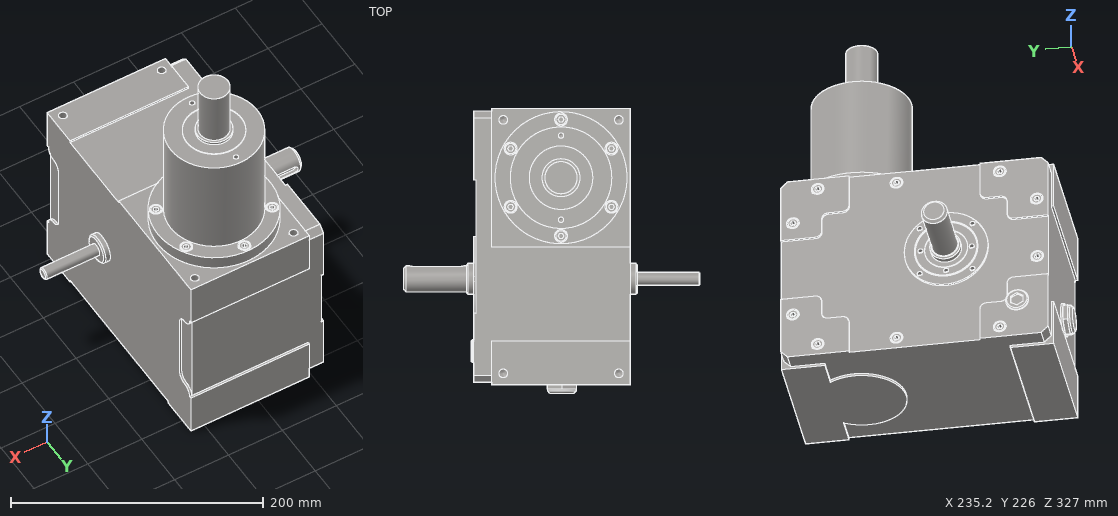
import cadquery as cq
import math

TOTAL_HEIGHT = 327.0
STEP = 2.0

SEAT_SIZE = 110.0
BLOCK_LENGTH = 219.0
BLOCK_LEFT = -SEAT_SIZE / 2
BLOCK_RIGHT = SEAT_SIZE / 2
BLOCK_BACK = SEAT_SIZE / 2
BLOCK_FRONT = BLOCK_BACK - BLOCK_LENGTH
BLOCK_TOP = 169.5
BLOCK_DEPTH = 35.0
BLOCK_HEIGHT = 39.5

COVER_LEFT = -69.3
CORE_LEFT = COVER_LEFT + STEP
CORE_RIGHT = BLOCK_RIGHT - STEP
CORE_BACK = BLOCK_BACK - STEP
CORE_FRONT = BLOCK_FRONT + STEP
CORE_BOTTOM = STEP
CORE_TOP = BLOCK_TOP - STEP
CORE_CHAMFER = 5.5
MID_Y = (BLOCK_BACK + BLOCK_FRONT) / 2
MID_Z = BLOCK_TOP / 2

PAD_LONG = 55.0
PAD_SHORT = 33.0
PAD_FILLET = 5.2

NOTCH_OPENING = BLOCK_TOP - 2 * BLOCK_HEIGHT
NOTCH_FLOOR = 59.5
NOTCH_RADIUS = (NOTCH_OPENING - NOTCH_FLOOR) / 4

FLANGE_RADIUS = 52.3
FLANGE_TOP = 181.5
TOWER_RADIUS = 40.2
TOWER_TOP = 275.3
TOWER_RECESS_RADIUS = 25.2
TOWER_COLLAR_RADIUS = 15.0
TOWER_COLLAR_TOP = 277.3
TOWER_SHAFT_RADIUS = 12.8
TOWER_PIN_OFFSET = 33.5
TOWER_PIN_DIAMETER = 4.3
FLANGE_SCREW_CIRCLE = 46.0
FLANGE_SCREW_COUNT = 6
FOOT_BOSS_RADIUS = 36.0
FACE_RECESS = 0.5

SHAFT_Y = -80.0
SHAFT_Z = 90.0
COLLAR_RADIUS = 12.5
COLLAR_LENGTH = 5.5
COLLAR_CHAMFER = 1.3
LEFT_SHAFT_RADIUS = 10.5
LEFT_SHAFT_TIP = -125.0
RIGHT_SHAFT_RADIUS = 5.2
RIGHT_SHAFT_TIP = 110.2
LEFT_TIP_CHAMFER = 2.3
RIGHT_TIP_CHAMFER = 1.0
KEY_WIDTH = 6.5
KEY_DEPTH = 3.5
KEY_LENGTH = 43.8
KEY_TIP_GAP = 4.5
BEARING_RADIUS = 33.7
BEARING_GROOVE_RADIUS = 25.5
BEARING_GROOVE_WIDTH = 0.5
BEARING_RECESS_RADIUS = 17.3
BEARING_OUTER_HOLES = 30.0
BEARING_INNER_HOLES = 20.5
BEARING_HOLE_DIAMETER = 4.0

HEAD_HOLE_DIAMETER = 10.0
HEAD_DIAMETER = 8.2
HEAD_HEIGHT = 5.2
HEAD_SOCKET = 4.5
MOUNT_HOLE_DIAMETER = 7.0
MOUNT_HOLE_INSET = 9.0
MOUNT_HOLE_DEPTH = 13.0
SMALL_HOLE_DEPTH = 5.0
DRILL_POINT_ANGLE = 118

COVER_ROW_Y = (23.2, -40.0, -123.3)
COVER_ROW_INSET = 9.5
COVER_BACK_SCREWS = ((43.2, 128.0), (43.2, BLOCK_TOP - 128.0))
COVER_FRONT_SCREWS = ((-153.0, 129.0), (-153.0, 76.0))

SIDE_PLUG_Y = -137.5
SIDE_PLUG_Z = 34.5
SIDE_PLUG_RADIUS = 9.0
SIDE_PLUG_HEIGHT = 2.0
SIDE_PLUG_CHAMFER = 1.0
SIDE_PLUG_SOCKET = 11.5
FRONT_PLUG_X = 0.5
FRONT_PLUG_Z = 57.5
FRONT_PLUG_CORNERS = 26.8
FRONT_PLUG_WASHER = 1.5
FRONT_PLUG_HEX = 5.2
FRONT_PLUG_CAP_RADIUS = 11.5
FRONT_PLUG_TIP = -171.0
FRONT_PLUG_CHAMFER = 2.0


def box(x_range, y_range, z_range):
    """Box between two limits along each axis."""
    corner = (x_range[0], y_range[0], z_range[0])
    size = (x_range[1] - x_range[0], y_range[1] - y_range[0], z_range[1] - z_range[0])
    return cq.Workplane("XY").box(*size, centered=False).translate(corner)


def tower_disc(radius, bottom, top):
    """Disc on the tower axis."""
    return cq.Workplane("XY", origin=(0, 0, bottom)).circle(radius).extrude(top - bottom)


def shaft_disc(radius, start, end):
    """Disc on the cross shaft axis."""
    return cq.Workplane("YZ", origin=(start, SHAFT_Y, SHAFT_Z)).circle(radius).extrude(end - start)


def ring_points(radius, count, start_angle):
    """Points evenly spaced on a circle around the origin."""
    angles = [math.radians(start_angle + 360 * i / count) for i in range(count)]
    return [(radius * math.cos(a), radius * math.sin(a)) for a in angles]


def drill(face, points, diameter, depth, inward):
    """Blind drilled holes with pointed bottoms."""
    radius = diameter / 2
    tip_height = radius / math.tan(math.radians(DRILL_POINT_ANGLE / 2))
    axis = cq.Vector(0, 0, inward)
    barrel = cq.Solid.makeCylinder(radius, depth, dir=axis)
    tip = cq.Solid.makeCone(radius, 0, tip_height, pnt=axis * depth, dir=axis)
    bit = barrel.fuse(tip)
    return face.pushPoints(points).eachpoint(bit.moved, useLocalCoordinates=True)


def screw_cuts(face, points, inward):
    """Gap around each flush screw head, and its hexagon socket."""
    depth = inward * HEAD_HEIGHT
    rims = face.pushPoints(points).circle(HEAD_HOLE_DIAMETER / 2).circle(HEAD_DIAMETER / 2)
    gaps = rims.extrude(depth)
    sockets = face.pushPoints(points).polygon(6, HEAD_SOCKET).extrude(depth)
    return gaps.union(sockets)


def core():
    body = box((CORE_LEFT, CORE_RIGHT), (CORE_FRONT, CORE_BACK), (CORE_BOTTOM, CORE_TOP))
    return body.edges("|X").chamfer(CORE_CHAMFER)


def mounting_blocks():
    """Blocks along the four long edges; the top back one seats the tower."""
    across = (BLOCK_LEFT, BLOCK_RIGHT)
    front = (BLOCK_FRONT, BLOCK_FRONT + BLOCK_DEPTH)
    back = (BLOCK_BACK - BLOCK_DEPTH, BLOCK_BACK)
    seat = (BLOCK_BACK - SEAT_SIZE, BLOCK_BACK)
    low = (0, BLOCK_HEIGHT)
    high = (BLOCK_TOP - BLOCK_HEIGHT, BLOCK_TOP)
    blocks = box(across, front, low).union(box(across, back, low))
    return blocks.union(box(across, front, high)).union(box(across, seat, high))


def corner_pad():
    """Stepped pad at the top back corner of the cover."""
    y, z = CORE_BACK, CORE_TOP
    outline = [
        (y, z),
        (y - PAD_LONG, z),
        (y - PAD_LONG, z - PAD_SHORT),
        (y - PAD_SHORT, z - PAD_SHORT),
        (y - PAD_SHORT, z - PAD_LONG),
        (y, z - PAD_LONG),
    ]
    pad = cq.Workplane("YZ", origin=(COVER_LEFT, 0, 0)).polyline(outline).close().extrude(STEP)
    middle_x = COVER_LEFT + STEP / 2
    for corner_y, corner_z in outline[2:5]:
        corner = cq.NearestToPointSelector((middle_x, corner_y, corner_z))
        pad = pad.edges("|X").edges(corner).fillet(PAD_FILLET)
    outer_corner = cq.NearestToPointSelector((middle_x, y, z))
    return pad.edges("|X").edges(outer_corner).chamfer(CORE_CHAMFER)


def cover_pads():
    """The corner pad and its mirror images on the other corners."""
    pad = corner_pad()
    back_pads = pad.union(pad.mirror("XY", (0, 0, MID_Z)))
    return back_pads.union(back_pads.mirror("XZ", (0, MID_Y, 0)))


def edge_notch():
    """Notch in the front edge of the right face; each end is an S of two quarter arcs."""
    r = NOTCH_RADIUS
    bend = r * math.sqrt(0.5)
    half = NOTCH_OPENING / 2
    y = CORE_FRONT
    notch = (
        cq.Workplane("YZ", origin=(CORE_RIGHT, 0, MID_Z))
        .moveTo(y, -half)
        .threePointArc((y + r - bend, bend - half), (y + r, r - half))
        .threePointArc((y + r + bend, 2 * r - bend - half), (y + 2 * r, 2 * r - half))
        .lineTo(y + 2 * r, half - 2 * r)
        .threePointArc((y + r + bend, half - 2 * r + bend), (y + r, half - r))
        .threePointArc((y + r - bend, half - bend), (y, half))
        .close()
    )
    return notch.extrude(STEP)


def right_face():
    """Raised face on the right side, notched between the blocks."""
    plate = box((CORE_RIGHT, BLOCK_RIGHT), (CORE_FRONT, CORE_BACK), (CORE_BOTTOM, CORE_TOP))
    plate = plate.edges("|X").chamfer(CORE_CHAMFER)
    notch = edge_notch()
    return plate.cut(notch).cut(notch.mirror("XZ", (0, MID_Y, 0)))


def housing():
    return core().union(mounting_blocks()).union(cover_pads()).union(right_face())


def mounting_holes():
    """Blind holes in the corners of the top blocks."""
    x_left = BLOCK_LEFT + MOUNT_HOLE_INSET
    x_right = BLOCK_RIGHT - MOUNT_HOLE_INSET
    y_front = BLOCK_FRONT + MOUNT_HOLE_INSET
    y_back = BLOCK_BACK - MOUNT_HOLE_INSET
    points = [(x, y) for x in (x_left, x_right) for y in (y_front, y_back)]
    face = cq.Workplane("XY", origin=(0, 0, BLOCK_TOP))
    return drill(face, points, MOUNT_HOLE_DIAMETER, MOUNT_HOLE_DEPTH, -1)


def cover_screws():
    """Screws on the cover; those on the corner pads start one STEP further out."""
    row_z = (CORE_BOTTOM + COVER_ROW_INSET, CORE_TOP - COVER_ROW_INSET)
    rows = [(y, z) for y in COVER_ROW_Y for z in row_z]
    screws = rows + list(COVER_BACK_SCREWS) + list(COVER_FRONT_SCREWS)
    on_pads = []
    off_pads = []
    for y, z in screws:
        between_in_y = CORE_FRONT + PAD_LONG < y < CORE_BACK - PAD_LONG
        between_in_z = CORE_BOTTOM + PAD_LONG < z < CORE_TOP - PAD_LONG
        if between_in_y or between_in_z:
            off_pads.append((y, z))
        else:
            on_pads.append((y, z))
    pad_cuts = screw_cuts(cq.Workplane("YZ", origin=(COVER_LEFT, 0, 0)), on_pads, 1)
    core_cuts = screw_cuts(cq.Workplane("YZ", origin=(CORE_LEFT, 0, 0)), off_pads, 1)
    return pad_cuts.union(core_cuts)


def tower():
    body = tower_disc(FLANGE_RADIUS, CORE_TOP, FLANGE_TOP)
    body = body.union(tower_disc(TOWER_RADIUS, FLANGE_TOP, TOWER_TOP))
    body = body.cut(tower_disc(TOWER_RECESS_RADIUS, TOWER_TOP - FACE_RECESS, TOWER_TOP))
    body = body.union(tower_disc(TOWER_COLLAR_RADIUS, FLANGE_TOP, TOWER_COLLAR_TOP))
    return body.union(tower_disc(TOWER_SHAFT_RADIUS, FLANGE_TOP, TOTAL_HEIGHT))


def tower_cuts():
    """Flange screws and the two small holes on top of the tower."""
    flange = cq.Workplane("XY", origin=(0, 0, FLANGE_TOP))
    screw_places = ring_points(FLANGE_SCREW_CIRCLE, FLANGE_SCREW_COUNT, 90)
    cuts = screw_cuts(flange, screw_places, -1)
    top = cq.Workplane("XY", origin=(0, 0, TOWER_TOP))
    pin_places = ring_points(TOWER_PIN_OFFSET, 2, 90)
    return cuts.union(drill(top, pin_places, TOWER_PIN_DIAMETER, SMALL_HOLE_DEPTH, -1))


def left_bearing():
    """Disc flush with the pads, with a thin groove and a shallow recess."""
    floor = COVER_LEFT + FACE_RECESS
    disc = shaft_disc(BEARING_RADIUS, COVER_LEFT, CORE_LEFT)
    groove = shaft_disc(BEARING_GROOVE_RADIUS, COVER_LEFT, floor)
    groove = groove.cut(shaft_disc(BEARING_GROOVE_RADIUS - BEARING_GROOVE_WIDTH, COVER_LEFT, floor))
    return disc.cut(groove).cut(shaft_disc(BEARING_RECESS_RADIUS, COVER_LEFT, floor))


def bearing_holes():
    face = cq.Workplane("YZ", origin=(COVER_LEFT, SHAFT_Y, SHAFT_Z))
    places = ring_points(BEARING_OUTER_HOLES, 4, 45) + ring_points(BEARING_INNER_HOLES, 4, 0)
    return drill(face, places, BEARING_HOLE_DIAMETER, SMALL_HOLE_DEPTH, 1)


def keyway():
    """Round-ended keyway on the back of the left shaft."""
    middle = LEFT_SHAFT_TIP + KEY_TIP_GAP + KEY_LENGTH / 2
    floor = SHAFT_Y + LEFT_SHAFT_RADIUS - KEY_DEPTH
    slot = cq.Workplane("XZ", origin=(middle, floor, SHAFT_Z)).slot2D(KEY_LENGTH, KEY_WIDTH)
    return slot.extrude(-2 * KEY_DEPTH)


def left_shaft():
    collar = shaft_disc(COLLAR_RADIUS, COVER_LEFT - COLLAR_LENGTH, CORE_LEFT)
    collar = collar.faces("<X").chamfer(COLLAR_CHAMFER)
    shaft = shaft_disc(LEFT_SHAFT_RADIUS, LEFT_SHAFT_TIP, CORE_LEFT)
    shaft = shaft.faces("<X").chamfer(LEFT_TIP_CHAMFER)
    return collar.union(shaft.cut(keyway()))


def right_shaft():
    collar = shaft_disc(COLLAR_RADIUS, CORE_RIGHT, BLOCK_RIGHT + COLLAR_LENGTH)
    collar = collar.faces(">X").chamfer(COLLAR_CHAMFER)
    shaft = shaft_disc(RIGHT_SHAFT_RADIUS, CORE_RIGHT, RIGHT_SHAFT_TIP)
    shaft = shaft.faces(">X").chamfer(RIGHT_TIP_CHAMFER)
    return collar.union(shaft)


def side_plug():
    """Round plug with a hexagon socket on the front bottom pad of the cover."""
    face = cq.Workplane("YZ", origin=(COVER_LEFT - SIDE_PLUG_HEIGHT, SIDE_PLUG_Y, SIDE_PLUG_Z))
    plug = face.circle(SIDE_PLUG_RADIUS).extrude(SIDE_PLUG_HEIGHT + STEP)
    plug = plug.faces("<X").chamfer(SIDE_PLUG_CHAMFER)
    socket = face.transformed(rotate=(0, 0, 90)).polygon(6, SIDE_PLUG_SOCKET)
    return plug.cut(socket.extrude(SIDE_PLUG_HEIGHT))


def front_plug():
    """Washer, hexagon and round chamfered cap, on the front of the core."""
    face = cq.Workplane("XZ", origin=(FRONT_PLUG_X, CORE_FRONT, FRONT_PLUG_Z))
    washer = face.circle(FRONT_PLUG_CORNERS / 2).extrude(FRONT_PLUG_WASHER)
    hexagon = face.transformed(rotate=(0, 0, 90)).polygon(6, FRONT_PLUG_CORNERS).extrude(FRONT_PLUG_HEX)
    cap = face.circle(FRONT_PLUG_CAP_RADIUS).extrude(CORE_FRONT - FRONT_PLUG_TIP)
    return washer.union(hexagon).union(cap.faces("<Y").chamfer(FRONT_PLUG_CHAMFER))


foot_boss = tower_disc(FOOT_BOSS_RADIUS, 0, CORE_BOTTOM)

result = housing().union(foot_boss).union(tower())
result = result.union(left_bearing()).union(left_shaft()).union(right_shaft())
result = result.cut(bearing_holes()).cut(cover_screws())
result = result.union(side_plug()).union(front_plug())
result = result.cut(mounting_holes()).cut(tower_cuts())